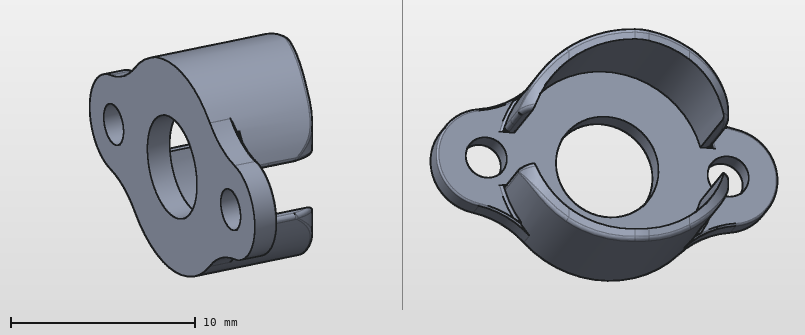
import cadquery as cq
import math

LENGTH = 19.03
HEIGHT = 7.36
BARREL_RADIUS = 6.03
BORE_RADIUS = 5.4
CENTRE_HOLE_RADIUS = 2.85
PLATE_THICKNESS = 1.37
EAR_RADIUS = 2.78
EAR_HOLE_RADIUS = 1.15
NECK_RADIUS = 5.0
SLOT_WIDTH = 3.05
CREST_X = -0.42
CREST_SLOPE = 14.2
CREST_ROUND = 3.0
FLAT_START_X = -3.05
SLOPE_END_X = 3.43
SHOULDER_X = 5.85
SHOULDER_Y = 4.19
SIDE_FLARE = 0.76
LEFT_SHOULDER = (-5.42, 6.38)
RIGHT_SHOULDER = (5.23, 5.75)
RIM_ROUND = 0.23
SLOT_EDGE_ROUND = 0.25
PLATE_EDGE_ROUND = 0.11
BASE_FILLET = 0.17

TOLERANCE = 0.002

EAR_X = LENGTH / 2 - EAR_RADIUS


def disc(radius, start, end, x=0):
    """Cylinder along Y between two y positions."""
    axis = cq.Vector(0, 1, 0)
    return cq.Workplane(cq.Solid.makeCylinder(radius, end - start, cq.Vector(x, start, 0), axis))


def ear_outline():
    """Outline of both ears, with concave necks tangent to the ears and the barrel.

    Straight chords close it inside the barrel, which completes the round flange.
    """
    to_barrel = BARREL_RADIUS + NECK_RADIUS
    to_ear = EAR_RADIUS + NECK_RADIUS
    neck_x = (to_barrel**2 - to_ear**2 + EAR_X**2) / (2 * EAR_X)
    neck_z = math.sqrt(to_barrel**2 - neck_x**2)
    barrel_x = neck_x * BARREL_RADIUS / to_barrel
    barrel_z = neck_z * BARREL_RADIUS / to_barrel
    ear_x = EAR_X + (neck_x - EAR_X) * EAR_RADIUS / to_ear
    ear_z = neck_z * EAR_RADIUS / to_ear
    chord_x = (barrel_x + ear_x) / 2 - neck_x
    chord_z = (barrel_z + ear_z) / 2 - neck_z
    reach = NECK_RADIUS / math.hypot(chord_x, chord_z)
    mid_x = neck_x + chord_x * reach
    mid_z = neck_z + chord_z * reach
    return (
        cq.Workplane("XZ")
        .moveTo(-barrel_x, barrel_z)
        .lineTo(barrel_x, barrel_z)
        .threePointArc((mid_x, mid_z), (ear_x, ear_z))
        .threePointArc((LENGTH / 2, 0), (ear_x, -ear_z))
        .threePointArc((mid_x, -mid_z), (barrel_x, -barrel_z))
        .lineTo(-barrel_x, -barrel_z)
        .threePointArc((-mid_x, -mid_z), (-ear_x, -ear_z))
        .threePointArc((-LENGTH / 2, 0), (-ear_x, ear_z))
        .threePointArc((-mid_x, mid_z), (-barrel_x, barrel_z))
        .close()
    )


def make_ears():
    """Both ears, rounded along their barrel-side edge."""
    return ear_outline().extrude(-PLATE_THICKNESS).faces(">Y").edges().fillet(PLATE_EDGE_ROUND)


def make_base_fillet():
    """Concave ring where the barrel meets the flat tops of the ears."""
    top = PLATE_THICKNESS + BASE_FILLET
    outside = BARREL_RADIUS + BASE_FILLET
    inside = (BORE_RADIUS + BARREL_RADIUS) / 2
    bulge = BASE_FILLET * (1 - math.sqrt(0.5))
    ring = (
        cq.Workplane("XY")
        .moveTo(inside, PLATE_THICKNESS / 2)
        .lineTo(outside, PLATE_THICKNESS / 2)
        .lineTo(outside, PLATE_THICKNESS)
        .threePointArc((BARREL_RADIUS + bulge, PLATE_THICKNESS + bulge), (BARREL_RADIUS, top))
        .lineTo(inside, top)
        .close()
        .revolve(360, (0, 0, 0), (0, 1, 0))
    )
    return ring.intersect(ear_outline().offset2D(-PLATE_EDGE_ROUND).extrude(-top))


def make_crest():
    """Block above the +Z slot wall; its end slopes towards +X and turns down at both sides."""
    slope = math.tan(math.radians(CREST_SLOPE))
    bend = CREST_ROUND * math.tan(math.radians(CREST_SLOPE / 2))
    bend_end_x = CREST_X + bend * math.cos(math.radians(CREST_SLOPE))
    bend_end_y = HEIGHT - bend * math.sin(math.radians(CREST_SLOPE))
    slope_end_y = HEIGHT - (SLOPE_END_X - CREST_X) * slope
    block = (
        cq.Workplane("XY", origin=(0, 0, SLOT_WIDTH / 2))
        .moveTo(-SHOULDER_X - SIDE_FLARE, 0)
        .lineTo(-SHOULDER_X, SHOULDER_Y)
        .spline(
            [LEFT_SHOULDER, (FLAT_START_X, HEIGHT)],
            tangents=[(SIDE_FLARE, SHOULDER_Y), (1, 0)],
            includeCurrent=True,
        )
        .lineTo(CREST_X - bend, HEIGHT)
        .tangentArcPoint((bend_end_x, bend_end_y), relative=False)
        .lineTo(SLOPE_END_X, slope_end_y)
        .spline(
            [RIGHT_SHOULDER, (SHOULDER_X, SHOULDER_Y)],
            tangents=[(1, -slope), (SIDE_FLARE, -SHOULDER_Y)],
            includeCurrent=True,
        )
        .lineTo(SHOULDER_X + SIDE_FLARE, 0)
        .close()
        .extrude(BARREL_RADIUS)
    )
    return block.faces("<Z").edges("not <Y").fillet(SLOT_EDGE_ROUND)


def make_wall():
    """Curved wall on the +Z side of the slot, with its outer rim rounded."""
    tube = disc(BARREL_RADIUS, 0, HEIGHT).cut(disc(BORE_RADIUS, PLATE_THICKNESS, HEIGHT))
    wall = tube.intersect(make_crest())
    return outer_rim(wall).fillet(RIM_ROUND)


def outer_rim(wall):
    """Edges of the free end on the outside of the barrel, without those along its axis."""
    def on_rim(edge):
        points = [edge.positionAt(t) for t in (0, 0.37, 1)]
        outside = all(abs(math.hypot(p.x, p.z) - BARREL_RADIUS) < TOLERANCE for p in points)
        along_axis = all(math.hypot(p.x - points[0].x, p.z - points[0].z) < TOLERANCE for p in points)
        return outside and not along_axis and edge.Center().y > 2 * PLATE_THICKNESS

    return wall.newObject([edge for edge in wall.edges().vals() if on_rim(edge)])


upper_wall = make_wall()
slot_clearance = cq.Workplane("XY").box(LENGTH, HEIGHT, SLOT_WIDTH, centered=(True, False, True))
base_fillet = make_base_fillet().cut(slot_clearance)
result = make_ears().union(base_fillet).union(upper_wall).union(upper_wall.mirror("XY"))
result = result.cut(disc(CENTRE_HOLE_RADIUS, 0, PLATE_THICKNESS))
for side in (-1, 1):
    result = result.cut(disc(EAR_HOLE_RADIUS, 0, PLATE_THICKNESS, side * EAR_X))